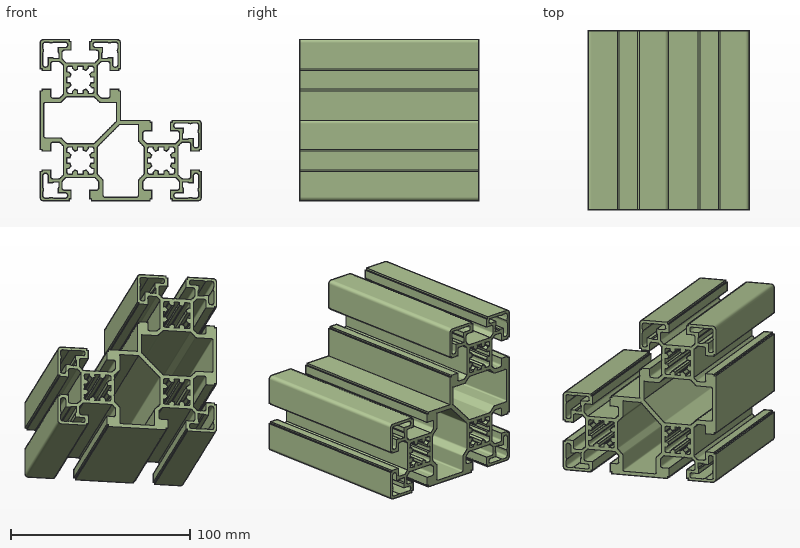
import cadquery as cq
import math

length = 100.0
module = 45.0
half_module = module / 2
arm_width = 44.95
overall_width = 2 * module
outer_radius = 2.0

slot_opening = 10.4
slot_inner_width = 20.3
lip_thickness = 6.0
slot_depth = 13.0
slot_radius = 1.2
rebate_width = 0.9
rebate_depth = 1.1
slot_web = 2.0

core_half = 7.5
core_radius = 1.0
tooth_inner = 1.5
tooth_outer = 4.5
tooth_slope_offset = 2.1
screw_bore_radius = 6.0

corner_wall = 1.6
corner_ridge_height = 0.4
corner_ridge_place = 6.2
corner_ridge_half_width = 1.4
corner_arm_end = 15.35
corner_arm_depth = 4.45
corner_pocket_near = 10.1
corner_pocket_far = 10.5
corner_pocket_ramp = (6.9, 7.7)
corner_hollow_radius = 1.2

hollow_wall = 2.1
notch_wall = 2.5
hollow_half_width = 9.8
hollow_radius = 0.9
hollow_bend_radius = 1.2
hollow_slope_offset = 1.8
diagonal_web = 2.5

UP, LEFT, DOWN, RIGHT = 0, 90, 180, 270
corner_centre = (half_module, half_module)
upper_centre = (half_module, half_module + module)
right_centre = (half_module + module, half_module)
slot_sides = {
    corner_centre: (LEFT, DOWN),
    upper_centre: (UP, LEFT, RIGHT),
    right_centre: (UP, DOWN, RIGHT),
}

outer_corners = [
    ((0, 0), 0),
    ((overall_width, 0), 90),
    ((overall_width, module), 180),
    ((module, overall_width), 180),
    ((0, overall_width), 270),
]


def section_plane(origin=(0, 0), angle=0):
    """Sketch plane at y = 0 with local axes X and Z, moved and turned."""
    place = cq.Workplane("XZ", origin=(origin[0], 0, origin[1]))
    return place.transformed(rotate=(0, 0, angle))


def toward(start, end, distance):
    """Point at a distance from start on the way to end."""
    span = math.dist(start, end)
    return tuple(s + (e - s) * distance / span for s, e in zip(start, end))


def rounded_prism(plane, corners):
    """Full-length prism over a closed polygon of (x, z, corner radius)."""
    points = [corner[:2] for corner in corners]
    sketch = None
    for i, (x, z, radius) in enumerate(corners):
        corner = (x, z)
        before = points[i - 1]
        after = points[(i + 1) % len(points)]
        to_before = math.atan2(before[1] - z, before[0] - x)
        to_after = math.atan2(after[1] - z, after[0] - x)
        half_angle = abs(math.remainder(to_after - to_before, 2 * math.pi)) / 2
        setback = radius / math.tan(half_angle)
        arc_start = toward(corner, before, setback)
        sketch = plane.moveTo(*arc_start) if sketch is None else sketch.lineTo(*arc_start)
        if radius > 0:
            arc_end = toward(corner, after, setback)
            chord_middle = tuple((a + b) / 2 for a, b in zip(arc_start, arc_end))
            arc_middle = toward(corner, chord_middle, radius / math.sin(half_angle) - radius)
            sketch = sketch.threePointArc(arc_middle, arc_end)
    return sketch.close().extrude(-length)


def mirrored(half_outline):
    """Close a half outline with its reflection in the local Z axis."""
    return half_outline + [(-x, z, radius) for x, z, radius in reversed(half_outline)]


def body():
    return rounded_prism(section_plane(), [
        (0, 0, outer_radius),
        (overall_width, 0, outer_radius),
        (overall_width, arm_width, outer_radius),
        (arm_width, arm_width, 0),
        (arm_width, overall_width, outer_radius),
        (0, overall_width, outer_radius),
    ])


def slot(centre, angle):
    """T-slot with a rebated mouth, opening in the local +Z direction."""
    face = half_module
    floor = half_module - slot_depth
    slope_offset = slot_web / math.sqrt(2)
    mouth = slot_opening / 2
    inner = slot_inner_width / 2
    return rounded_prism(section_plane(centre, angle), mirrored([
        (mouth + rebate_width, face, 0),
        (mouth + rebate_width, face - rebate_depth, 0),
        (mouth, face - rebate_depth, 0),
        (mouth, face - lip_thickness, 0),
        (inner, face - lip_thickness, slot_radius),
        (inner, inner + slope_offset, slot_radius),
        (floor - slope_offset, floor, 0),
    ]))


def tooth(centre, angle, side):
    """Core tooth; its tip follows the screw bore and its outer flank is cut at 45 degrees."""
    bore = screw_bore_radius
    offset = tooth_slope_offset
    tip_outer = (math.sqrt(2 * bore**2 - offset**2) - offset) / 2
    tip_middle = (tooth_inner + tip_outer) / 2
    return (
        section_plane(centre, angle)
        .moveTo(side * tooth_inner, core_half)
        .lineTo(side * tooth_inner, math.sqrt(bore**2 - tooth_inner**2))
        .threePointArc(
            (side * tip_middle, math.sqrt(bore**2 - tip_middle**2)),
            (side * tip_outer, tip_outer + offset),
        )
        .lineTo(side * tooth_outer, tooth_outer + offset)
        .lineTo(side * tooth_outer, core_half)
        .close()
        .extrude(-length)
    )


def core_hollow(centre):
    hollow = rounded_prism(section_plane(centre), mirrored([
        (core_half, core_half, core_radius),
        (core_half, -core_half, core_radius),
    ]))
    for angle in (UP, LEFT, DOWN, RIGHT):
        for side in (-1, 1):
            hollow = hollow.cut(tooth(centre, angle, side))
    return hollow


def corner_hollow(corner, angle):
    """L-shaped hollow behind an outer corner, with a shallow ridge on each outer wall."""
    ridge = corner_wall + corner_ridge_height
    ramp_start, ramp_end = corner_pocket_ramp
    arm = [
        (corner_ridge_place - corner_ridge_half_width, corner_wall, 0),
        (corner_ridge_place, ridge, 0),
        (corner_ridge_place + corner_ridge_half_width, corner_wall, 0),
        (corner_arm_end, corner_wall, corner_hollow_radius),
        (corner_arm_end, corner_arm_depth, corner_hollow_radius),
        (corner_pocket_near, corner_arm_depth, 0),
        (corner_pocket_near, ramp_start, 0),
        (corner_pocket_far, ramp_end, 0),
    ]
    other_arm = [(z, x, radius) for x, z, radius in reversed(arm)]
    return rounded_prism(section_plane(corner, angle), [
        (corner_wall, corner_wall, corner_hollow_radius),
        *arm,
        (corner_pocket_far, corner_pocket_far, 0),
        *other_arm,
    ])


def upper_hollow_outline():
    """Hollow between the corner module and the upper module."""
    left = hollow_wall
    right = module - notch_wall
    low = module - hollow_half_width
    high = module + hollow_half_width
    web_offset = diagonal_web / math.sqrt(2)
    floor = module - slot_depth
    roof = overall_width - floor
    shoulder = low - half_module - hollow_slope_offset
    flat = floor - half_module - hollow_slope_offset
    return [
        (left, low, hollow_radius),
        (half_module - shoulder, low, hollow_bend_radius),
        (half_module - flat, floor, hollow_bend_radius),
        (floor - web_offset, floor, hollow_bend_radius),
        (right, right + web_offset, 0),
        (right, high, 0),
        (half_module + shoulder, high, hollow_bend_radius),
        (half_module + flat, roof, hollow_bend_radius),
        (half_module - flat, roof, hollow_bend_radius),
        (half_module - shoulder, high, hollow_bend_radius),
        (left, high, hollow_radius),
    ]


profile = body()
for centre, angles in slot_sides.items():
    profile = profile.cut(core_hollow(centre))
    for angle in angles:
        profile = profile.cut(slot(centre, angle))
for corner, angle in outer_corners:
    profile = profile.cut(corner_hollow(corner, angle))

upper_outline = upper_hollow_outline()
right_outline = [(z, x, radius) for x, z, radius in upper_outline]
for outline in (upper_outline, right_outline):
    profile = profile.cut(rounded_prism(section_plane(), outline))

result = profile